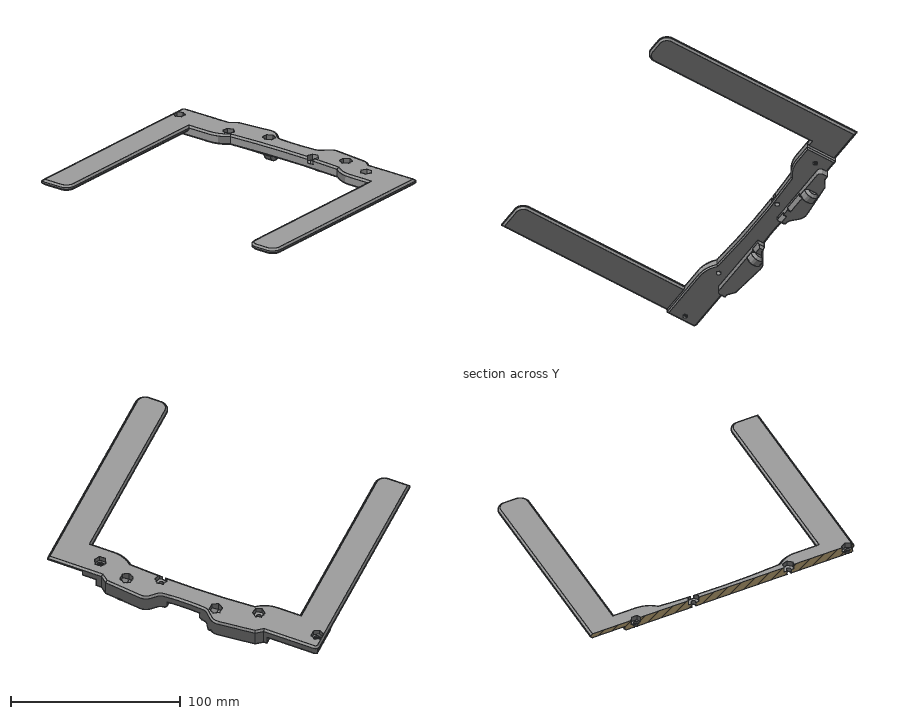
import cadquery as cq
import math

frame_width = 173.7
half_width = frame_width / 2
arm_width = 20.0
arm_end_y = -135.9
crossbar_depth = 20.0
plate_thickness = 3.5
plate_chamfer = 1.2
arm_corner_radius = 6.0
back_corner_radius = 2.6
inner_half_width = half_width - arm_width

hump_peak = (21.5, 6.0)
hump_peak_radius = 7.6
hump_shoulder = (48.0, 3.3)
hump_foot = (52.1, 0.0)
waist_back_y = -1.4
waist_back_end = (14.6, -0.7)
waist_corner_radius = 4.7

waist_front_y = -13.9
waist_front_end = (39.8, -15.3)
front_swell_end = (52.5, -crossbar_depth)

swell_run = front_swell_end[0] - waist_front_end[0]
swell_rise = waist_front_end[1] - front_swell_end[1]
swell_radius = (swell_run**2 + swell_rise**2) / (2 * swell_rise)
swell_half_angle = math.atan2(swell_rise, swell_run)
front_swell_middle = (
    front_swell_end[0] - swell_radius * math.sin(swell_half_angle),
    front_swell_end[1] + swell_radius * (1 - math.cos(swell_half_angle)),
)

bar_bottom = -6.6
bar_left = 0.7 - half_width
bar_right = 64.3
bar_chamfer = 0.9

pad_bottom = -11.1
pad_front_y = -5.7
pad_inner_x = 10.5
left_pad_end = -54.2
right_pad_end = 55.6
pad_chamfer = 1.4
pad_corner_radius = 2.5
bevel_height = 2.3
front_bevels = [(-16.2, -pad_inner_x), (pad_inner_x, 16.9), (21.2, 34.0)]

foot_bottom = -15.3
foot_radius = 4.9
foot_y = -1.0
foot_width = 7.3
foot_tip_width = 4.5
foot_shoulder_radius = 2.8

screw_hole = 2.8
small_nut = 6.3
nut_depth = 3.5
counterbore = 4.2
counterbore_bottom = -4.9
foot_nut = 6.8
foot_positions = (-19.6, 37.7)
foot_pocket_y = -4.0
outer_nuts = [(-82.3, -9.5, 90), (57.0, -9.5, 0)]
inner_nuts = [(-44.1, -11.1, 80), (18.6, -11.1, 10)]


def mirrored(point):
    return (-point[0], point[1])


def box(x_min, x_max, y_min, y_max, z_min, z_max):
    return cq.Workplane("XY").box(
        x_max - x_min, y_max - y_min, z_max - z_min, centered=False
    ).translate((x_min, y_min, z_min))


def round_corner(slab, x, y, radius):
    """Fillet the upright edge of a slab that stands at (x, y)."""
    reach = 0.2
    tall = frame_width
    around = cq.selectors.BoxSelector((x - reach, y - reach, -tall), (x + reach, y + reach, tall))
    return slab.edges("|Z").edges(around).fillet(radius)


def frame_slab(bottom, top):
    """Slab with the U-shaped outline of the whole frame, its corners rounded."""
    slab = (
        cq.Workplane("XY").workplane(offset=bottom)
        .moveTo(-half_width, 0)
        .lineTo(*mirrored(hump_foot))
        .lineTo(*mirrored(hump_shoulder))
        .lineTo(*mirrored(hump_peak))
        .lineTo(*mirrored(waist_back_end))
        .threePointArc((0, waist_back_y), waist_back_end)
        .lineTo(*hump_peak)
        .lineTo(*hump_shoulder)
        .lineTo(*hump_foot)
        .lineTo(half_width, 0)
        .lineTo(half_width, arm_end_y)
        .lineTo(inner_half_width, arm_end_y)
        .lineTo(inner_half_width, -crossbar_depth)
        .lineTo(*front_swell_end)
        .threePointArc(front_swell_middle, waist_front_end)
        .threePointArc((0, waist_front_y), mirrored(waist_front_end))
        .threePointArc(mirrored(front_swell_middle), mirrored(front_swell_end))
        .lineTo(-inner_half_width, -crossbar_depth)
        .lineTo(-inner_half_width, arm_end_y)
        .lineTo(-half_width, arm_end_y)
        .close()
        .extrude(top - bottom)
    )
    for side in (-1, 1):
        slab = round_corner(slab, side * hump_peak[0], hump_peak[1], hump_peak_radius)
        slab = round_corner(slab, side * waist_back_end[0], waist_back_end[1], waist_corner_radius)
    for x in (-inner_half_width, inner_half_width, half_width):
        slab = round_corner(slab, x, arm_end_y, arm_corner_radius)
    slab = round_corner(slab, -half_width, 0, back_corner_radius)
    return slab


def make_plate():
    plate = frame_slab(-plate_thickness, 0)
    return plate.faces("<Z or >Z").chamfer(plate_chamfer)


def make_bar():
    top = -plate_chamfer
    full = frame_slab(bar_bottom, top).faces("<Z").chamfer(bar_chamfer)
    limits = box(bar_left, bar_right, -crossbar_depth, hump_peak[1], bar_bottom, top)
    return full.intersect(limits.faces("<Z").chamfer(bar_chamfer))


def make_pad(x_min, x_max, inner_side, outer_side):
    top = -plate_chamfer
    back = hump_peak[1]
    limits = box(x_min, x_max, pad_front_y, back, pad_bottom, top)
    limits = limits.faces("<Y").edges(outer_side).fillet(pad_corner_radius)
    limits = limits.faces(inner_side).edges("<Z").chamfer(pad_chamfer)
    return frame_slab(pad_bottom, top).intersect(limits)


def front_bevel(x_min, x_max):
    """Wedge that cuts the lower front edge of a pad at 45 degrees."""
    wedge = cq.Workplane("YZ").polyline([(0, 0), (bevel_height, 0), (0, bevel_height)]).close()
    return wedge.extrude(x_max - x_min).translate((x_min, pad_front_y, pad_bottom))


def make_foot(x):
    """Lower segment of a disc turned about an X axis, narrowing towards its rim."""
    axis_z = foot_bottom + foot_radius
    half_foot = foot_width / 2
    half_tip = foot_tip_width / 2
    disc = (
        cq.Workplane("XY")
        .polyline([
            (-half_foot, 0),
            (-half_foot, foot_shoulder_radius),
            (-half_tip, foot_radius),
            (half_tip, foot_radius),
            (half_foot, foot_shoulder_radius),
            (half_foot, 0),
        ])
        .close()
        .revolve(360, (0, 0, 0), (1, 0, 0))
        .translate((x, foot_y, axis_z))
    )
    below_pad = box(
        x - half_foot, x + half_foot, foot_y - foot_radius, foot_y + foot_radius, foot_bottom, pad_bottom
    )
    hump_outline = frame_slab(foot_bottom, pad_bottom)
    return disc.intersect(below_pad).intersect(hump_outline)


def hexagon(x, y, across_flats, rotation, depth):
    across_corners = across_flats / math.cos(math.pi / 6)
    prism = cq.Workplane("XY").polygon(6, across_corners).extrude(-depth)
    return prism.rotate((0, 0, 0), (0, 0, 1), rotation).translate((x, y, 0))


def foot_pocket(x):
    """Hexagonal pocket whose floor is a V-shaped valley running along Y."""
    half_nut = foot_nut / 2
    keel_depth = nut_depth + half_nut * math.tan(math.pi / 6)
    valley = (
        cq.Workplane("XZ")
        .polyline([
            (-half_nut, 0),
            (-half_nut, -nut_depth),
            (0, -keel_depth),
            (half_nut, -nut_depth),
            (half_nut, 0),
        ])
        .close()
        .extrude(foot_nut, both=True)
        .translate((x, foot_pocket_y, 0))
    )
    return hexagon(x, foot_pocket_y, foot_nut, 90, keel_depth).intersect(valley)


def round_hole(x, y, diameter, bottom):
    return cq.Workplane("XY").center(x, y).circle(diameter / 2).extrude(bottom)


result = make_plate().union(make_bar())
result = result.union(make_pad(left_pad_end, -pad_inner_x, ">X", "<X"))
result = result.union(make_pad(pad_inner_x, right_pad_end, "<X", ">X"))
for bevel_left, bevel_right in front_bevels:
    result = result.cut(front_bevel(bevel_left, bevel_right))
for foot_x in foot_positions:
    result = result.union(make_foot(foot_x)).cut(foot_pocket(foot_x))
for x, y, rotation in outer_nuts + inner_nuts:
    result = result.cut(hexagon(x, y, small_nut, rotation, nut_depth))
    result = result.cut(round_hole(x, y, screw_hole, bar_bottom))
for x, y, rotation in outer_nuts:
    result = result.cut(round_hole(x, y, counterbore, counterbore_bottom))